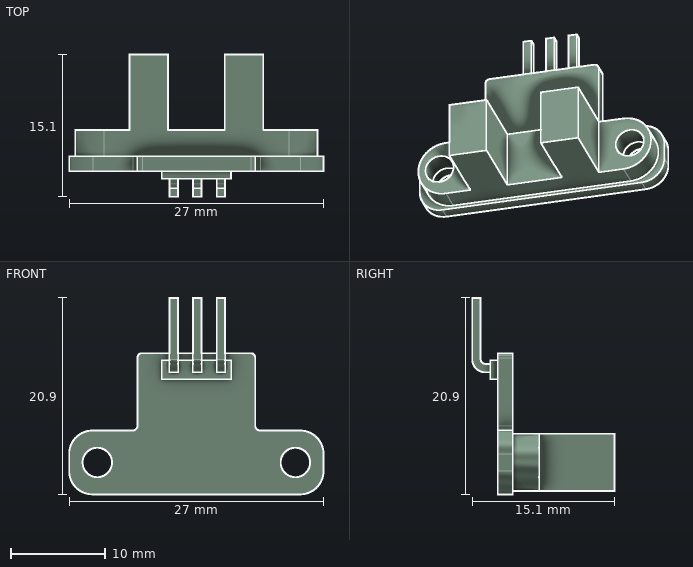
import cadquery as cq
import math


board_width = 27.0
board_thickness = 1.6
wing_height = 6.8
wing_radius = 2.5
tab_width = 12.5
tab_top = 15.0
tab_radius = 0.5

hole_diameter = 3.1
hole_spacing = 21.0
hole_z = wing_height / 2

base_length = 25.7
base_height = 6.1
base_depth = 2.8
arm_length = 8.0
arm_width = 4.1
arm_gap = 6.0

header_width = 7.35
header_height = 2.05
header_depth = 0.8
header_bottom = 12.2

pin_size = 0.92
pin_pitch = 2.5
pin_count = 3
pin_row_offset = 0.1
pin_stub = 0.5
pin_inner_radius = 0.5
pin_bottom = 12.94
pin_top = 20.86


def mounting_holes():
    """Cylinders through the board and the housing base."""
    return (
        cq.Workplane("XZ")
        .pushPoints([(-hole_spacing / 2, hole_z), (hole_spacing / 2, hole_z)])
        .circle(hole_diameter / 2)
        .extrude(-(board_thickness + base_depth))
    )


def make_board():
    """Board with two rounded wings and a tab rising from the middle."""
    wings = (
        cq.Workplane("XZ")
        .rect(board_width, wing_height)
        .extrude(-board_thickness)
        .translate((0, 0, wing_height / 2))
        .edges("|Y")
        .fillet(wing_radius)
    )
    tab = cq.Workplane("XY").box(tab_width, board_thickness, tab_top, centered=(True, False, False))
    tab = tab.edges("|Y and >Z").fillet(tab_radius)
    board = wings.union(tab)
    inner_corners = cq.selectors.BoxSelector(
        (-tab_width / 2 - tab_radius, 0, wing_height - tab_radius / 2),
        (tab_width / 2 + tab_radius, board_thickness, wing_height + tab_radius / 2),
    )
    board = board.edges("|Y").edges(inner_corners).fillet(tab_radius)
    return board.cut(mounting_holes())


def make_housing():
    """Base with fully rounded ends, carrying two arms with the sensing gap between them."""
    base = (
        cq.Workplane("XZ", origin=(0, board_thickness, hole_z))
        .slot2D(base_length, base_height)
        .extrude(-base_depth)
    )
    arm_spacing = arm_gap + arm_width
    arms = (
        cq.Workplane("XZ", origin=(0, board_thickness + base_depth, hole_z))
        .pushPoints([(-arm_spacing / 2, 0), (arm_spacing / 2, 0)])
        .rect(arm_width, base_height)
        .extrude(-arm_length)
    )
    return base.union(arms).cut(mounting_holes())


def make_header():
    """Plain strip on the front face of the board."""
    return (
        cq.Workplane("XY", origin=(0, 0, header_bottom))
        .box(header_width, header_depth, header_height, centered=(True, False, False))
        .translate((0, -header_depth, 0))
    )


def make_pin(x):
    """Square pin that leaves the header forwards and bends upwards."""
    start_y = -header_depth
    bend_y = start_y - pin_stub
    outer_radius = pin_inner_radius + pin_size
    bend_z = pin_bottom + outer_radius
    outer_y = bend_y - outer_radius
    inner_y = bend_y - pin_inner_radius
    diagonal = math.sqrt(0.5)
    return (
        cq.Workplane("YZ", origin=(x - pin_size / 2, 0, 0))
        .moveTo(start_y, pin_bottom)
        .lineTo(bend_y, pin_bottom)
        .threePointArc(
            (bend_y - outer_radius * diagonal, bend_z - outer_radius * diagonal),
            (outer_y, bend_z),
        )
        .lineTo(outer_y, pin_top)
        .lineTo(inner_y, pin_top)
        .lineTo(inner_y, bend_z)
        .threePointArc(
            (bend_y - pin_inner_radius * diagonal, bend_z - pin_inner_radius * diagonal),
            (bend_y, pin_bottom + pin_size),
        )
        .lineTo(start_y, pin_bottom + pin_size)
        .close()
        .extrude(pin_size)
    )


board = make_board()
housing = make_housing()
header = make_header()
pins = []
for index in range(pin_count):
    pin_x = pin_row_offset + (index - (pin_count - 1) / 2) * pin_pitch
    pins.append(make_pin(pin_x).val())

result = cq.Compound.makeCompound([board.val(), housing.val(), header.val(), *pins])